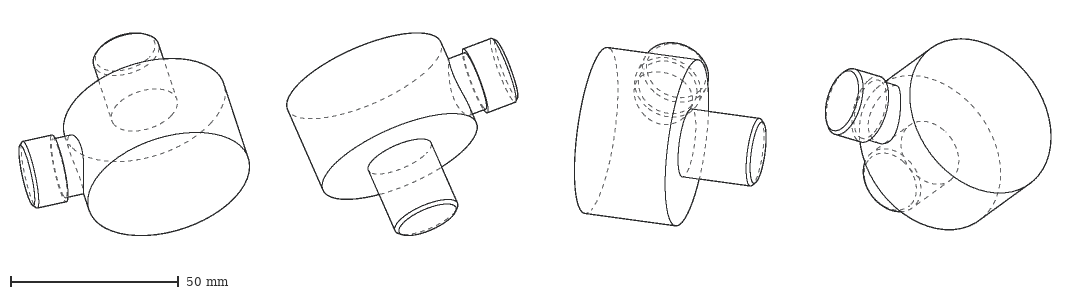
import cadquery as cq

total_length_y = 65.0
body_diameter = 50.0
body_width = 28.0
total_width_x = body_diameter
pipe_diameter = 20.4
neck_diameter = 18.0
collar_length = 10.0
end_chamfer = 1.0

stub_length = total_width_x - body_width
outlet_reach = total_length_y - body_diameter / 2
neck_reach = outlet_reach - collar_length


def chamfered_cylinder(plane, diameter, length):
    """Cylinder growing along the plane normal, chamfered at its far end."""
    cylinder = cq.Workplane(plane).circle(diameter / 2).extrude(length)
    return cylinder.faces(cq.selectors.DirectionMinMaxSelector(plane.zDir, True)).chamfer(end_chamfer)


body = cq.Workplane("YZ").circle(body_diameter / 2).extrude(body_width / 2, both=True)

stub_plane = cq.Plane(origin=(-body_width / 2, 0, 0), xDir=(0, 1, 0), normal=(-1, 0, 0))
stub = chamfered_cylinder(stub_plane, pipe_diameter, stub_length)

neck = cq.Workplane("XZ").circle(neck_diameter / 2).extrude(neck_reach)
collar_plane = cq.Plane(origin=(0, -neck_reach, 0), xDir=(1, 0, 0), normal=(0, -1, 0))
collar = chamfered_cylinder(collar_plane, pipe_diameter, collar_length)

result = body.union(stub).union(neck).union(collar)